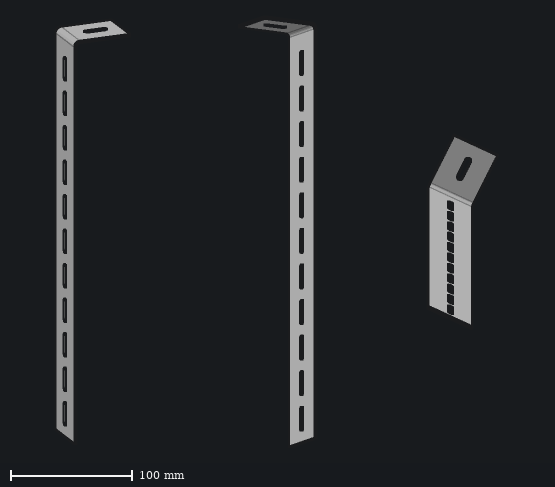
import cadquery as cq

width = 40.0
depth = 50.0
height = 350.0

thickness = 2.0
inner_bend_radius = 3.0
outer_bend_radius = inner_bend_radius + thickness

slot_length = 20.0
slot_width = 4.6
slot_pitch = 30.0
long_leg_slot_count = 11
lowest_slot_height = 20.0

short_leg_slot_from_end = (depth - outer_bend_radius) / 2


def bent_strip():
    """L-shaped strip: long leg upright at the front, short leg running back at the top."""
    outer_body = (
        cq.Workplane("YZ")
        .rect(depth, height, centered=False)
        .extrude(width / 2, both=True)
        .edges("|X and <Y and >Z")
        .fillet(outer_bend_radius)
    )
    inside_space = (
        cq.Workplane("YZ")
        .moveTo(thickness, 0)
        .rect(depth - thickness, height - thickness, centered=False)
        .extrude(width / 2, both=True)
        .edges("|X and <Y and >Z")
        .fillet(inner_bend_radius)
    )
    return outer_body.cut(inside_space)


def long_leg_slots():
    """Upright slots through the long leg, evenly spaced from the bottom."""
    centres = [(0, lowest_slot_height + i * slot_pitch) for i in range(long_leg_slot_count)]
    return (
        cq.Workplane("XZ")
        .pushPoints(centres)
        .slot2D(slot_length, slot_width, angle=90)
        .extrude(-thickness)
    )


def short_leg_slot():
    """Single slot through the short leg, running front to back."""
    return (
        cq.Workplane("XY", origin=(0, 0, height))
        .center(0, depth - short_leg_slot_from_end)
        .slot2D(slot_length, slot_width, angle=90)
        .extrude(-thickness)
    )


result = bent_strip().cut(long_leg_slots()).cut(short_leg_slot())